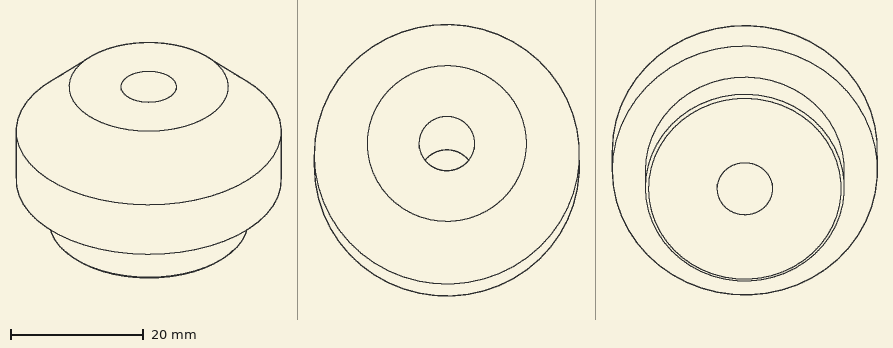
import cadquery as cq

body_diameter = 40.0
spigot_diameter = 30.0
bore_diameter = 8.35
total_height = 25.0
spigot_height = 8.0
top_chamfer = 8.0
spigot_chamfer = 0.5

body_height = total_height - spigot_height


def make_spigot():
    """Lower cylinder, standing on Z = 0, with a chamfered bottom edge."""
    spigot = cq.Workplane("XY").circle(spigot_diameter / 2).extrude(spigot_height)
    return spigot.faces("<Z").edges().chamfer(spigot_chamfer)


def make_body():
    """Wide cylinder above the spigot, tapering to a flat top."""
    body = (
        cq.Workplane("XY")
        .workplane(offset=spigot_height)
        .circle(body_diameter / 2)
        .extrude(body_height)
    )
    return body.faces(">Z").edges().chamfer(top_chamfer)


def make_bore():
    """Through hole along the axis."""
    return cq.Workplane("XY").circle(bore_diameter / 2).extrude(total_height)


result = make_spigot().union(make_body()).cut(make_bore())